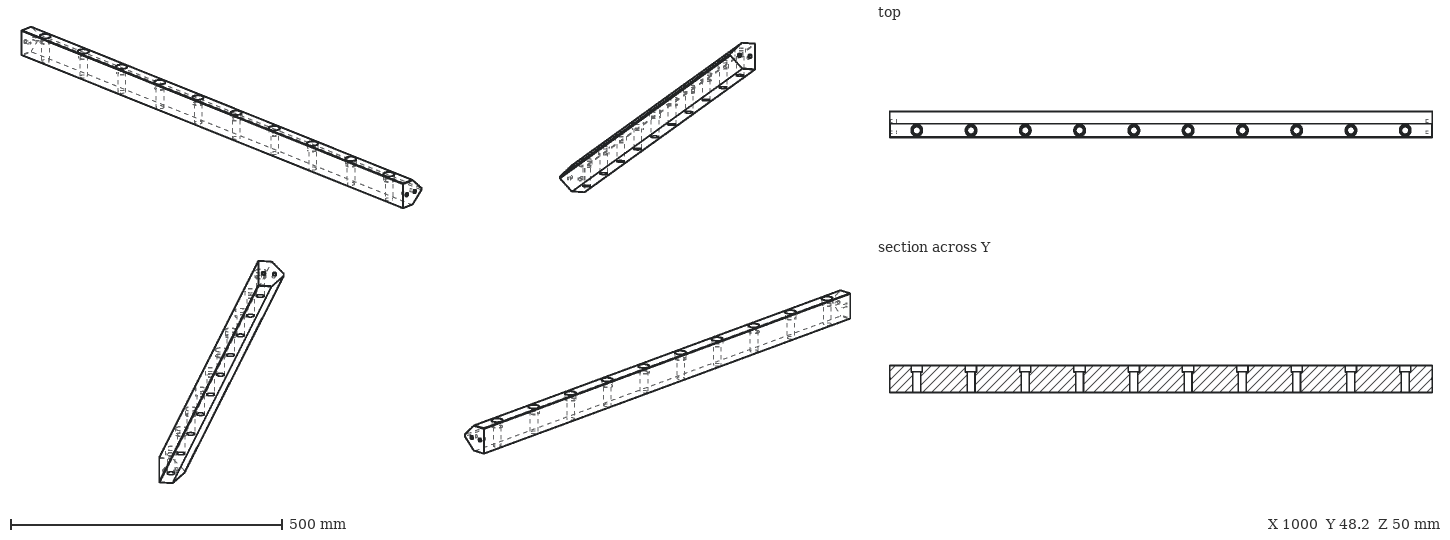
import cadquery as cq

length = 1000.0
body_depth = 25.0
height = 50.0
tip_height = 3.6
ridge_depth = (height - tip_height) / 2
depth = body_depth + ridge_depth
edge_chamfer = 1.0

mount_count = 10
mount_pitch = length / mount_count
mount_y = -11.0
mount_diameter = 14.0
counterbore_diameter = 20.0
counterbore_depth = 12.0
counterbore_chamfer = 0.5

end_hole_diameter = 5.3
end_hole_depth = 12.0
end_hole_mouth_diameter = 7.2
end_hole_ys = (6.5, -14.0)

back_y = -depth / 2
tip_y = depth / 2
shoulder_y = tip_y - ridge_depth


def rail_body():
    """Extrude the ridge profile and break the top, bottom and back edges, leaving the shoulders sharp."""
    profile = [
        (back_y, -height / 2),
        (shoulder_y, -height / 2),
        (tip_y, -tip_height / 2),
        (tip_y, tip_height / 2),
        (shoulder_y, height / 2),
        (back_y, height / 2),
    ]
    bar = cq.Workplane("YZ").polyline(profile).close().extrude(length / 2, both=True)
    back_edges = bar.faces("<Y").edges()
    end_edges = bar.faces("<Z or >Z").edges("|Y")
    return back_edges.add(end_edges).chamfer(edge_chamfer)


def drill_mounting_holes(body):
    """Cut the row of counterbored through holes from the top face and break their rims."""
    return (
        body.faces(">Z")
        .workplane(origin=(0, mount_y, height / 2))
        .rarray(mount_pitch, 10, mount_count, 1)
        .cboreHole(mount_diameter, counterbore_diameter, counterbore_depth)
        .faces(">Z")
        .edges("%CIRCLE")
        .chamfer(counterbore_chamfer)
    )


def end_hole(y):
    """Make one blind hole, with its 45 degree countersink, entering the -X end face."""
    radius = end_hole_diameter / 2
    mouth_radius = end_hole_mouth_diameter / 2
    start = cq.Vector(-length / 2, y, 0)
    inward = cq.Vector(1, 0, 0)
    bore = cq.Solid.makeCylinder(radius, end_hole_depth, start, inward)
    mouth = cq.Solid.makeCone(mouth_radius, radius, mouth_radius - radius, start, inward)
    return cq.Workplane(bore).union(cq.Workplane(mouth))


def drill_end_holes(body):
    """Cut the same pair of holes into both ends of the bar."""
    for y in end_hole_ys:
        hole = end_hole(y)
        body = body.cut(hole).cut(hole.mirror("YZ"))
    return body


result = drill_end_holes(drill_mounting_holes(rail_body()))